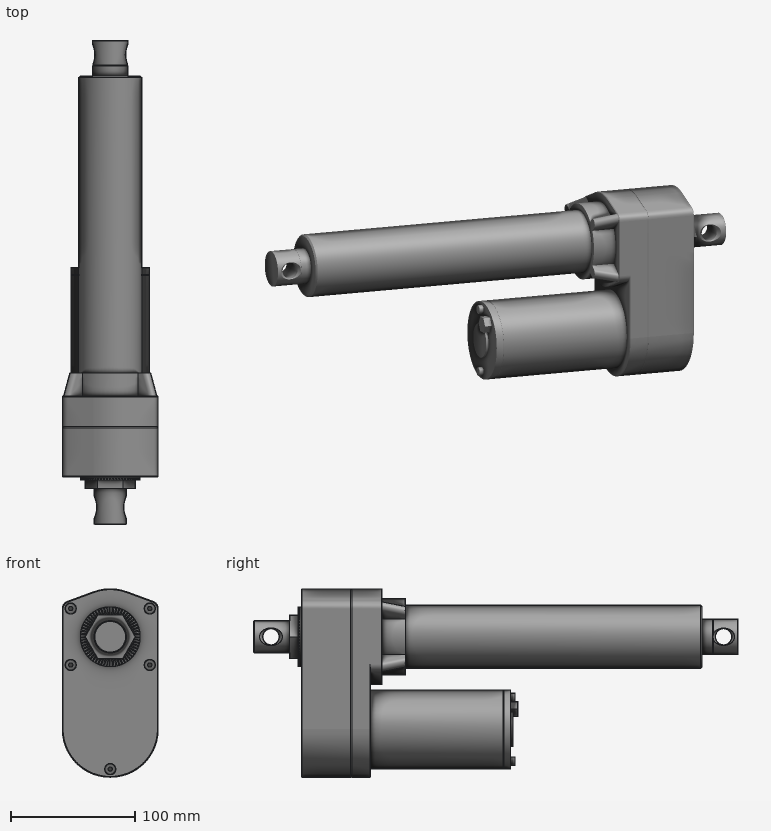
import cadquery as cq
import math


total_length = 389.5
front_clevis_reach = 38.4
clevis_tip_chamfer = 0.6
rod_tip_y = total_length - front_clevis_reach

gearbox_width = 77.16
gearbox_height = 151.66
gearbox_radius = gearbox_width / 2
motor_axis_z = 2 * gearbox_radius - gearbox_height
roof_slope = math.radians(20.2)
shoulder_radius = 6.5
seam_y = 40.0
seam_width = 1.0
seam_depth = 0.3
gearbox_back_y = 55.6
pad_back_y = 65.0
edge_chamfer = 0.6

recess_diameter = 8.5
recess_mouth_diameter = 9.0
recess_depth = 3.0
screw_hole_diameter = 3.45
screw_hole_depth = 6.0
screw_x = 31.8
screw_z = 22.7
lower_screw_radius = 32.0

ring_diameter = 48.2
ring_base = 1.5
ring_thickness = 2.6
tooth_count = 60
groove_overrun = 1.0
nut_flats = 35.0
nut_front_reach = 9.5
front_clevis_diameter = 26.0
front_hole_inset = 13.9
clevis_hole_diameter = 13.0
front_hole_chamfer = 2.7

tube_diameter = 50.8
tube_mouth_diameter = 48.2
tube_end_y = 322.5
collar_diameter = 61.5
collar_end_y = 83.7
rib_angle = math.degrees(math.atan2(screw_z, screw_x))
rib_width = 8.2
rib_reach_base = 45.2
rib_reach_end = 39.0

motor_diameter = 63.5
motor_seam_diameter = 63.0
motor_seam_width = 0.8
motor_seam_y = 162.0
motor_end_y = 168.4
motor_hub_diameter = 28.0
motor_hub_height = 2.0
motor_screw_diameter = 7.0
motor_screw_height = 3.5
motor_screw_radius = 25.6
gland_flats = 12.0
gland_height = 5.8
gland_offset_x = -14.0
gland_offset_z = 16.3

rod_diameter = 28.6
rod_groove_y = 330.8
rod_groove_width = 0.8
rod_groove_diameter = 28.0
rod_hole_inset = 11.4
rod_hole_chamfer = 2.3


def plane_at(y):
    """Plane square to the actuator axis: local x is X, local y is Z, normal is +Y."""
    return cq.Workplane(cq.Plane(origin=(0, y, 0), xDir=(-1, 0, 0), normal=(0, 1, 0)))


def cylinder(diameter, y_start, y_end, x=0, z=0):
    return plane_at(y_start).center(-x, z).circle(diameter / 2).extrude(y_end - y_start)


def hexagon(flats, y_start, y_end, x=0, z=0):
    corners = flats / math.cos(math.pi / 6)
    return plane_at(y_start).center(-x, z).polygon(6, corners).extrude(y_end - y_start)


def roof_points(inset):
    """Right half of the roof line: round crown, straight slope, rounded shoulder, side."""
    half_width = gearbox_radius - inset
    shoulder = shoulder_radius - inset
    shoulder_x = half_width - shoulder
    slope_sin = math.sin(roof_slope)
    slope_cos = math.cos(roof_slope)
    shoulder_z = (half_width - shoulder - shoulder_x * slope_sin) / slope_cos
    half_angle = roof_slope + (math.pi / 2 - roof_slope) / 2
    return {
        "crown": (0, half_width),
        "crown_end": (half_width * slope_sin, half_width * slope_cos),
        "slope_end": (shoulder_x + shoulder * slope_sin, shoulder_z + shoulder * slope_cos),
        "shoulder_mid": (shoulder_x + shoulder * math.sin(half_angle),
                         shoulder_z + shoulder * math.cos(half_angle)),
        "side": (half_width, shoulder_z),
    }


def mirrored(point, x_sign=1, z_sign=1):
    return (x_sign * point[0], z_sign * point[1])


def draw_roof(sketch, p):
    """Continue from the right side over the roof to the left side."""
    return (
        sketch
        .threePointArc(p["shoulder_mid"], p["slope_end"])
        .lineTo(*p["crown_end"])
        .threePointArc(p["crown"], mirrored(p["crown_end"], -1))
        .lineTo(*mirrored(p["slope_end"], -1))
        .threePointArc(mirrored(p["shoulder_mid"], -1), mirrored(p["side"], -1))
    )


def gearbox_block(y_start, y_end, inset=0):
    """Full gearbox outline: roof above, half round about the motor axis below."""
    p = roof_points(inset)
    half_width = p["side"][0]
    outline = draw_roof(plane_at(y_start).moveTo(*p["side"]), p)
    return (
        outline
        .lineTo(-half_width, motor_axis_z)
        .threePointArc((0, motor_axis_z - half_width), (half_width, motor_axis_z))
        .close()
        .extrude(y_end - y_start)
    )


def tube_pad(y_start, y_end):
    """Raised pad behind the gearbox: the roof outline mirrored about the actuator axis."""
    p = roof_points(0)
    flipped = {name: mirrored(point, -1, -1) for name, point in p.items()}
    outline = draw_roof(plane_at(y_start).moveTo(*p["side"]), p)
    outline = outline.lineTo(*flipped["side"])
    return draw_roof(outline, flipped).close().extrude(y_end - y_start)


def clevis_hole(y, clevis_diameter, chamfer):
    """Cross hole along X, flared at 45 degrees to both sides of the clevis."""
    edge_x = clevis_diameter / 2
    hole_radius = clevis_hole_diameter / 2
    flare_radius = hole_radius + chamfer
    profile = (
        cq.Workplane("XY", origin=(0, y, 0))
        .moveTo(-edge_x, 0)
        .lineTo(-edge_x, flare_radius)
        .lineTo(-edge_x + chamfer, hole_radius)
        .lineTo(edge_x - chamfer, hole_radius)
        .lineTo(edge_x, flare_radius)
        .lineTo(edge_x, 0)
        .close()
    )
    return profile.revolve(360, (0, 0, 0), (1, 0, 0))


def collar_rib(angle):
    """Round-ended radial rib that leans in from the gearbox toward the tube."""
    def section(workplane, reach):
        return workplane.transformed(rotate=(0, 0, angle)).center(reach / 2, 0).slot2D(reach, rib_width)

    foot = section(plane_at(pad_back_y), rib_reach_base).wires().val()
    head = section(plane_at(collar_end_y), rib_reach_end).wires().val()
    return cq.Workplane(cq.Solid.makeLoft([foot, head], True))


def serrated_ring():
    """Flat ring whose front face is cut by radial grooves, leaving square teeth between them."""
    ring = cylinder(ring_diameter, -ring_thickness, 0)
    groove_inner_radius = nut_flats / 2
    groove_length = ring_diameter / 2 - groove_inner_radius + groove_overrun
    groove_width = math.pi * groove_inner_radius / tooth_count
    grooves = (
        plane_at(-ring_thickness)
        .polarArray(groove_inner_radius + groove_length / 2, 0, 360, tooth_count)
        .rect(groove_length, groove_width)
        .extrude(ring_thickness - ring_base)
    )
    return ring.cut(grooves)


def screw_recess(x, z):
    """Flat-bottomed recess with a slightly broken mouth and a narrower screw hole below."""
    profile = (
        cq.Workplane("XY", origin=(x, 0, z))
        .lineTo(recess_mouth_diameter / 2, 0)
        .lineTo(recess_diameter / 2, (recess_mouth_diameter - recess_diameter) / 2)
        .lineTo(recess_diameter / 2, recess_depth)
        .lineTo(screw_hole_diameter / 2, recess_depth)
        .lineTo(screw_hole_diameter / 2, screw_hole_depth)
        .lineTo(0, screw_hole_depth)
        .close()
    )
    return profile.revolve(360, (0, 0, 0), (0, 1, 0))


def build_gearbox():
    gearbox = gearbox_block(0, gearbox_back_y)
    gearbox = gearbox.faces("<Y").chamfer(edge_chamfer).faces(">Y").chamfer(edge_chamfer)
    pad = tube_pad(seam_y, pad_back_y).faces(">Y").chamfer(edge_chamfer)
    gearbox = gearbox.union(pad)
    seam_start = seam_y - seam_width / 2
    seam_end = seam_y + seam_width / 2
    seam = gearbox_block(seam_start, seam_end).cut(gearbox_block(seam_start, seam_end, seam_depth))
    gearbox = gearbox.cut(seam)
    screw_places = [(side * screw_x, level * screw_z) for side in (-1, 1) for level in (-1, 1)]
    screw_places.append((0, motor_axis_z - lower_screw_radius))
    for x, z in screw_places:
        gearbox = gearbox.cut(screw_recess(x, z))
    return gearbox


def build_front_clevis():
    clevis = cylinder(front_clevis_diameter, -front_clevis_reach, 0)
    clevis = clevis.faces("<Y").chamfer(clevis_tip_chamfer)
    hole_y = front_hole_inset - front_clevis_reach
    clevis = clevis.cut(clevis_hole(hole_y, front_clevis_diameter, front_hole_chamfer))
    return serrated_ring().union(hexagon(nut_flats, -nut_front_reach, 0)).union(clevis)


def build_tube():
    tube = cylinder(tube_diameter, pad_back_y, tube_end_y)
    tube = tube.faces(">Y").chamfer((tube_diameter - tube_mouth_diameter) / 2)
    tube = tube.union(cylinder(collar_diameter, pad_back_y, collar_end_y))
    for angle in (rib_angle, 180 - rib_angle, 180 + rib_angle, -rib_angle):
        tube = tube.union(collar_rib(angle))
    return tube


def build_motor():
    motor = cylinder(motor_diameter, gearbox_back_y, motor_end_y, 0, motor_axis_z)
    seam_end_y = motor_seam_y + motor_seam_width
    seam = cylinder(motor_diameter, motor_seam_y, seam_end_y, 0, motor_axis_z)
    motor = motor.cut(seam.cut(cylinder(motor_seam_diameter, motor_seam_y, seam_end_y, 0, motor_axis_z)))
    hub_end_y = motor_end_y + motor_hub_height
    motor = motor.union(cylinder(motor_hub_diameter, motor_end_y, hub_end_y, 0, motor_axis_z))
    for side in (-1, 1):
        z = motor_axis_z + side * motor_screw_radius
        screw_end_y = motor_end_y + motor_screw_height
        motor = motor.union(cylinder(motor_screw_diameter, motor_end_y, screw_end_y, 0, z))
    gland_z = motor_axis_z + gland_offset_z
    gland_end_y = motor_end_y + gland_height
    return motor.union(hexagon(gland_flats, motor_end_y, gland_end_y, gland_offset_x, gland_z))


def build_housing():
    housing = build_gearbox().union(build_front_clevis()).union(build_tube()).union(build_motor())
    return housing.cut(cylinder(rod_diameter, collar_end_y, tube_end_y))


def build_rod():
    groove_end_y = rod_groove_y + rod_groove_width
    rod = cylinder(rod_diameter, collar_end_y, rod_groove_y)
    rod = rod.union(cylinder(rod_groove_diameter, rod_groove_y, groove_end_y))
    rod = rod.union(cylinder(rod_diameter, groove_end_y, rod_tip_y))
    return rod.cut(clevis_hole(rod_tip_y - rod_hole_inset, rod_diameter, rod_hole_chamfer))


housing = build_housing()
rod = build_rod()

result = cq.Compound.makeCompound([housing.val(), rod.val()])